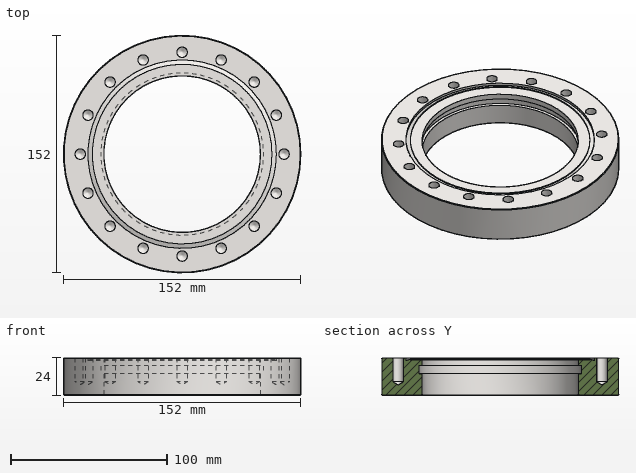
import cadquery as cq
import math

outer_diameter = 152.0
thickness = 24.0
bore_diameter = 100.0
rim_chamfer = 0.5

recess_diameter = 120.5
recess_depth = 1.7
knife_diameter = 114.9
knife_depth = 0.6
seat_depth = 1.2

groove_diameter = 104.0
groove_top_depth = 5.0
groove_bottom_depth = 10.0

bolt_count = 16
bolt_circle_diameter = 130.4
bolt_hole_diameter = 6.7
bolt_hole_depth = 15.2
drill_point_angle = 118.0


def make_ring():
    """Revolve the ring section, including the recess, knife edge and bore groove."""
    outer_radius = outer_diameter / 2
    bore_radius = bore_diameter / 2
    groove_radius = groove_diameter / 2
    section = [
        (bore_radius, 0),
        (outer_radius - rim_chamfer, 0),
        (outer_radius, rim_chamfer),
        (outer_radius, thickness - rim_chamfer),
        (outer_radius - rim_chamfer, thickness),
        (recess_diameter / 2, thickness),
        (recess_diameter / 2, thickness - recess_depth),
        (knife_diameter / 2, thickness - knife_depth),
        (knife_diameter / 2, thickness - seat_depth),
        (bore_radius, thickness - seat_depth),
        (bore_radius, thickness - groove_top_depth),
        (groove_radius, thickness - groove_top_depth),
        (groove_radius, thickness - groove_bottom_depth),
        (bore_radius, thickness - groove_bottom_depth),
    ]
    return cq.Workplane("XZ").polyline(section).close().revolve(360, (0, 0), (0, 1))


def make_bolt_holes():
    """Revolve one drilled hole and repeat it evenly around the bolt circle."""
    radius = bolt_hole_diameter / 2
    point_length = radius / math.tan(math.radians(drill_point_angle / 2))
    wall_bottom = thickness - bolt_hole_depth
    profile = [
        (0, thickness),
        (radius, thickness),
        (radius, wall_bottom),
        (0, wall_bottom - point_length),
    ]
    drill = cq.Workplane("XZ").polyline(profile).close().revolve(360, (0, 0), (0, 1)).val()
    positions = cq.Workplane("XY").polarArray(bolt_circle_diameter / 2, 0, 360, bolt_count)
    return positions.eachpoint(drill, combine=False)


result = make_ring().cut(make_bolt_holes())